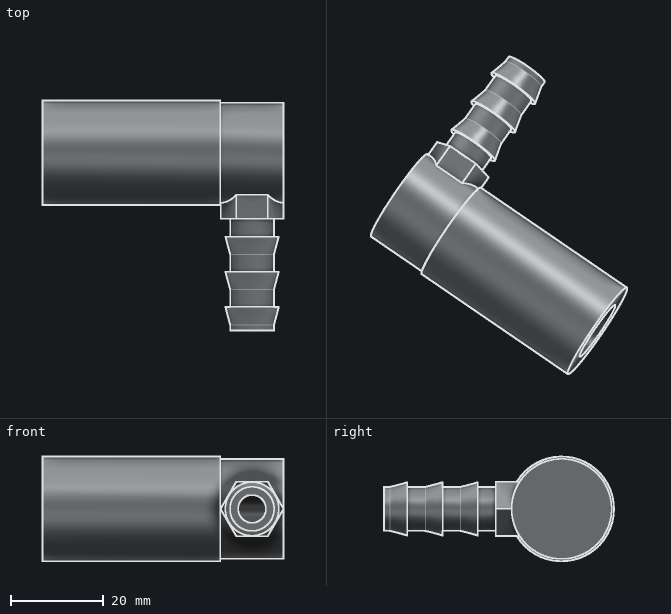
import cadquery as cq

total_length = 52.0
total_width = 49.6
sleeve_diameter = 22.6
hub_diameter = 21.6
hub_length = 13.6
sleeve_length = total_length - hub_length

hex_corners = 13.55
hex_end = 14.25
stem_diameter = 9.5
barb_diameter = 11.55
barb_count = 3
barb_length = 3.8
tip_distance = total_width - sleeve_diameter / 2
tail_x = total_length - hub_length / 2

socket_diameter = 13.5
socket_depth = sleeve_length
passage_diameter = 6.0


def rod_x(diameter, start, length):
    """Cylinder on the body axis."""
    return cq.Workplane("YZ", origin=(start, 0, 0)).circle(diameter / 2).extrude(length)


def make_body():
    sleeve = rod_x(sleeve_diameter, 0, sleeve_length)
    hub = rod_x(hub_diameter, sleeve_length, hub_length)
    return sleeve.union(hub)


def make_hex():
    """Hexagonal prism with two corners pointing along X."""
    return cq.Workplane("XZ", origin=(tail_x, 0, 0)).polygon(6, hex_corners).extrude(hex_end)


def make_barbed_stem():
    """Stem revolved about the tail axis; each barb tapers towards the tip."""
    stem_radius = stem_diameter / 2
    barb_radius = barb_diameter / 2
    profile = cq.Workplane("XY", origin=(tail_x, 0, 0)).lineTo(stem_radius, 0)
    for index in range(barb_count):
        barb_start = hex_end + (2 * index + 1) * barb_length
        profile = (
            profile.lineTo(stem_radius, -barb_start)
            .lineTo(barb_radius, -barb_start)
            .lineTo(stem_radius, -barb_start - barb_length)
        )
    profile = profile.lineTo(stem_radius, -tip_distance).lineTo(0, -tip_distance).close()
    return profile.revolve(360, (0, 0, 0), (0, 1, 0))


def make_passage():
    """Elbow of two equal bores with a mitred corner where their axes meet."""
    radius = passage_diameter / 2
    inlet = rod_x(passage_diameter, 0, tail_x + radius)
    outlet = (
        cq.Workplane("XZ", origin=(tail_x, radius, 0))
        .circle(radius)
        .extrude(radius + tip_distance)
    )
    inlet_side = (
        cq.Workplane("XY", origin=(tail_x, 0, 0))
        .polyline([(-tail_x, -tail_x), (radius, radius), (-tail_x, radius)])
        .close()
        .extrude(passage_diameter, both=True)
    )
    return inlet.intersect(inlet_side).union(outlet.cut(inlet_side))


socket = rod_x(socket_diameter, 0, socket_depth)
result = make_body().union(make_hex()).union(make_barbed_stem())
result = result.cut(socket).cut(make_passage())